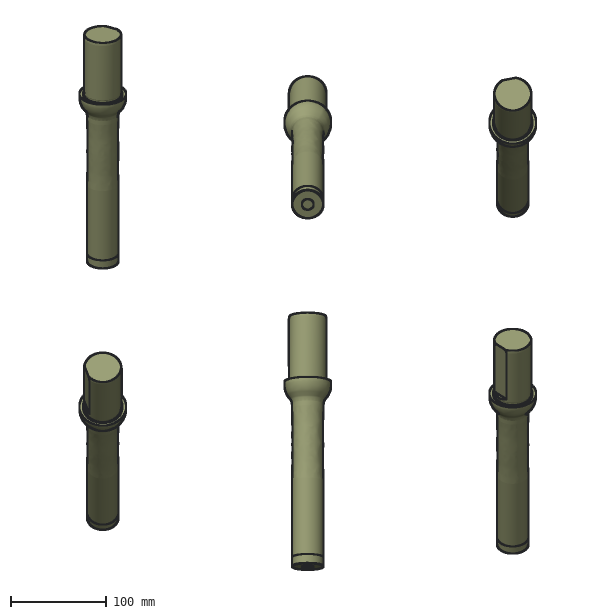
import cadquery as cq

tip_z = 0.0
head_bottom_z = 0.5
head_top_z = 10.5
waist_bottom_z = 92.5
waist_top_z = 170.6
neck_top_z = 175.5
collar_rim_z = 195.8
collar_top_z = 199.5
shank_top_z = 270.0

stem_radius = 33.5 / 2
waist_radius = 32.7 / 2
waist_low_z = 105.3
waist_high_z = 158.0
waist_mid_z = (waist_low_z + waist_high_z) / 2
boss_radius = 12.5 / 2
head_chamfer = 0.5

collar_radius = 49.5 / 2
bell_mid_radius = 21.0
bell_mid_z = 184.5

shank_radius = 40.0 / 2
undercut_radius = 39.5 / 2
undercut_height = 2.5
undercut_taper = 1.0
top_chamfer_height = 1.4
top_chamfer_width = 0.5
top_band_height = 3.5
top_band_radius = 39.5 / 2

groove_radius = 20.8
groove_depth = 0.8

flat_y = 17.8
ramp_start_z = 206.0
ramp_drop = 2.7


def make_head():
    """Cutting head: a short chamfered disc with a pilot boss underneath."""
    disc = (
        cq.Workplane("XY", origin=(0, 0, head_bottom_z))
        .circle(stem_radius)
        .extrude(head_top_z - head_bottom_z)
        .faces("<Z")
        .chamfer(head_chamfer)
    )
    boss = (
        cq.Workplane("XY", origin=(0, 0, tip_z))
        .circle(boss_radius)
        .extrude(head_bottom_z - tip_z)
    )
    return disc.union(boss)


def make_turned_holder():
    """Stem, waist, bell collar and shank as one turned profile."""
    undercut_top_z = collar_top_z + undercut_height
    profile = (
        cq.Workplane("XZ")
        .moveTo(0, head_top_z)
        .lineTo(stem_radius, head_top_z)
        .lineTo(stem_radius, waist_bottom_z)
        .spline(
            [
                (waist_radius, waist_low_z),
                (waist_radius, waist_mid_z),
                (waist_radius, waist_high_z),
                (stem_radius, waist_top_z),
            ],
            includeCurrent=True,
        )
        .lineTo(stem_radius, neck_top_z)
        .spline(
            [(bell_mid_radius, bell_mid_z), (collar_radius, collar_rim_z)],
            tangents=[(0, 1), (0, 1)],
            includeCurrent=True,
        )
        .lineTo(collar_radius, collar_top_z)
        .lineTo(groove_radius, collar_top_z)
        .lineTo(groove_radius, collar_top_z - groove_depth)
        .lineTo(undercut_radius, collar_top_z - groove_depth)
        .lineTo(undercut_radius, undercut_top_z - undercut_taper)
        .lineTo(shank_radius, undercut_top_z)
        .lineTo(shank_radius, shank_top_z - top_band_height)
        .lineTo(top_band_radius, shank_top_z - top_chamfer_height)
        .lineTo(top_band_radius - top_chamfer_width, shank_top_z)
        .lineTo(0, shank_top_z)
        .close()
    )
    return profile.revolve(360, (0, 0, 0), (0, 1, 0))


def make_flat_cutter():
    """Prism that removes the shank's +Y flat and its run-out ramp."""
    return (
        cq.Workplane("YZ")
        .moveTo(flat_y, shank_top_z)
        .lineTo(flat_y, ramp_start_z)
        .lineTo(flat_y + ramp_drop, ramp_start_z - ramp_drop)
        .lineTo(collar_radius, ramp_start_z - ramp_drop)
        .lineTo(collar_radius, shank_top_z)
        .close()
        .extrude(shank_radius, both=True)
    )


head = make_head()
holder = make_turned_holder().cut(make_flat_cutter())

result = cq.Compound.makeCompound([head.val(), holder.val()])